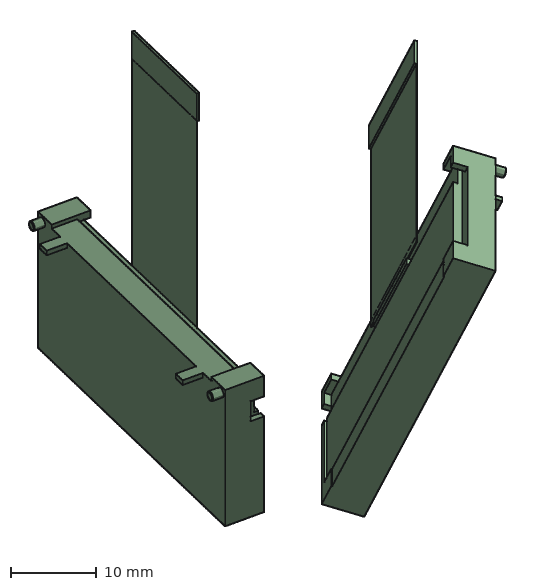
import cadquery as cq


HOUSING_WIDTH = 41.3
HOUSING_DEPTH = 5.35
OVERALL_DEPTH = 8.1
HOUSING_HEIGHT = 19.7
POCKET_FLOOR_Y = 3.5
BOTTOM_WALL = 3.05
END_BLOCK_WIDTH = 3.05
CORNER_ROOF = 1.05
TOP_STEP = 0.6
BACK_STEP = 0.1
SIDE_WALL = 0.8
NOTCH_TOP = 16.7
RIGHT_NOTCH_BOTTOM = 13.8

PEG_DIAMETER = 1.25
PEG_LENGTH = 1.5
PEG_CHAMFER = 0.1
PEG_SPACING = 39.35
PEG_Z = 18.75
TAB_REACH = OVERALL_DEPTH - HOUSING_DEPTH
TAB_WIDTH = 1.5
TAB_THICKNESS = 0.7
TAB_SPACING = 30.0

PANEL_FRONT_Y = 3.9
PANEL_STEP_Y = 4.45
PANEL_BACK_Y = 5.0
PANEL_STEP_Z = 14.3
CHIP_WIDTH = 10.45
CHIP_BOTTOM = 15.2
CHIP_TOP = 16.2

FLEX_WIDTH = 14.35
FLEX_THICKNESS = 0.1
FLEX_BOTTOM = 17.3
FLEX_TOP = 52.35
STIFFENER_THICKNESS = 0.25
STIFFENER_LENGTH = 4.05

HOUSING_TOP = HOUSING_HEIGHT - TOP_STEP
POCKET_TOP = HOUSING_HEIGHT - CORNER_ROOF
HALF_WIDTH = HOUSING_WIDTH / 2
INNER_HALF_WIDTH = HALF_WIDTH - SIDE_WALL
SHELF_HALF_WIDTH = HALF_WIDTH - END_BLOCK_WIDTH


def block(x_range, y_range, z_range):
    """Box between the given limits on each axis."""
    size = [end - start for start, end in (x_range, y_range, z_range)]
    corner = (x_range[0], y_range[0], z_range[0])
    return cq.Workplane("XY").box(*size, centered=False).translate(corner)


def centered_block(width, y_range, z_range):
    """Box that is symmetric about the middle of the module."""
    return block((-width / 2, width / 2), y_range, z_range)


def make_pegs():
    return (
        cq.Workplane("XZ")
        .pushPoints([(side * PEG_SPACING / 2, PEG_Z) for side in (-1, 1)])
        .circle(PEG_DIAMETER / 2)
        .extrude(PEG_LENGTH)
        .faces("<Y")
        .chamfer(PEG_CHAMFER)
    )


def make_housing():
    pocket_y = (POCKET_FLOOR_Y, HOUSING_DEPTH)
    body = centered_block(HOUSING_WIDTH, (0, HOUSING_DEPTH), (0, HOUSING_HEIGHT))

    shelf_width = 2 * SHELF_HALF_WIDTH
    body = body.cut(centered_block(shelf_width, (0, HOUSING_DEPTH), (HOUSING_TOP, HOUSING_HEIGHT)))

    body = body.cut(centered_block(2 * INNER_HALF_WIDTH, pocket_y, (BOTTOM_WALL, POCKET_TOP)))
    body = body.cut(centered_block(shelf_width, pocket_y, (POCKET_TOP, HOUSING_TOP)))

    body = body.cut(
        centered_block(shelf_width, (HOUSING_DEPTH - BACK_STEP, HOUSING_DEPTH), (0, BOTTOM_WALL))
    )

    body = body.cut(block((-HALF_WIDTH, -INNER_HALF_WIDTH), pocket_y, (BOTTOM_WALL, NOTCH_TOP)))
    body = body.cut(block((INNER_HALF_WIDTH, HALF_WIDTH), pocket_y, (RIGHT_NOTCH_BOTTOM, NOTCH_TOP)))

    for side in (-1, 1):
        tab = centered_block(TAB_WIDTH, (-TAB_REACH, 0), (HOUSING_TOP - TAB_THICKNESS, HOUSING_TOP))
        body = body.union(tab.translate((side * TAB_SPACING / 2, 0, 0)))

    return body.union(make_pegs())


def make_panel():
    strip_y = (PANEL_FRONT_Y, PANEL_STEP_Y)
    thick_y = (PANEL_FRONT_Y, PANEL_BACK_Y)
    thick_plate = centered_block(2 * INNER_HALF_WIDTH, thick_y, (BOTTOM_WALL, PANEL_STEP_Z))
    strip = centered_block(2 * INNER_HALF_WIDTH, strip_y, (PANEL_STEP_Z, POCKET_TOP))
    chip = centered_block(CHIP_WIDTH, (PANEL_STEP_Y, PANEL_BACK_Y), (CHIP_BOTTOM, CHIP_TOP))
    return thick_plate.union(strip).union(chip)


def make_flex():
    flex_back = PANEL_STEP_Y + FLEX_THICKNESS
    cable = centered_block(FLEX_WIDTH, (PANEL_STEP_Y, flex_back), (FLEX_BOTTOM, FLEX_TOP))
    stiffener = centered_block(
        FLEX_WIDTH,
        (flex_back, flex_back + STIFFENER_THICKNESS),
        (FLEX_TOP - STIFFENER_LENGTH, FLEX_TOP),
    )
    return cable.union(stiffener)


housing = make_housing()
panel = make_panel()
flex = make_flex()

result = cq.Compound.makeCompound([housing.val(), panel.val(), flex.val()])